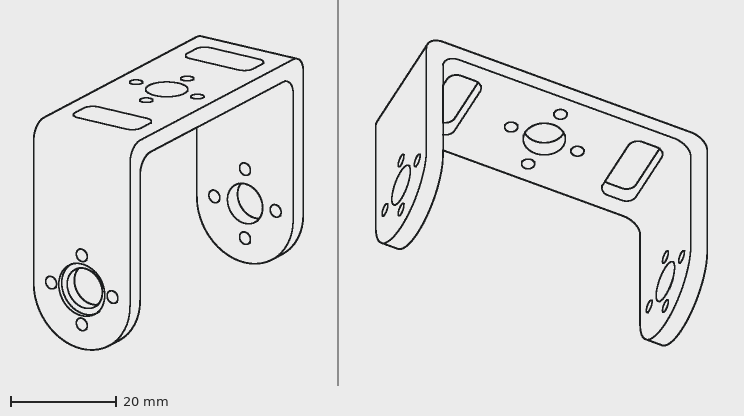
import cadquery as cq

width = 22.0
length = 59.3
height = 43.5
thickness = 3.5
outer_bend_radius = 3.5
inner_bend_radius = 3.5

centre_hole_diameter = 8.0
screw_hole_diameter = 2.5
screw_circle_radius = 7.0
web_pattern_y = -0.6
leg_pattern_height = 12.0

counterbore_diameter = 10.5
counterbore_depth = 1.0

window_length_x = 15.0
window_length_y = 7.0
window_corner_radius = 2.0
window_end_margin = 7.0
window_centre_y = length / 2 - window_end_margin - window_length_y / 2

leg_end_radius = width / 2


def make_channel():
    """Square-ended U channel: web on top, open side down, resting on z = 0."""
    outer = (
        cq.Workplane("XY")
        .box(width, length, height, centered=(True, True, False))
        .edges("|X and >Z")
        .fillet(outer_bend_radius)
    )
    inner = (
        cq.Workplane("XY")
        .box(width, length - 2 * thickness, height - thickness, centered=(True, True, False))
        .edges("|X and >Z")
        .fillet(inner_bend_radius)
    )
    return outer.cut(inner)


def make_leg_outline():
    """Front silhouette with a full round at the bottom, extruded through both legs."""
    return (
        cq.Workplane("XZ")
        .moveTo(-leg_end_radius, height)
        .lineTo(-leg_end_radius, leg_end_radius)
        .threePointArc((0, 0), (leg_end_radius, leg_end_radius))
        .lineTo(leg_end_radius, height)
        .close()
        .extrude(length / 2, both=True)
    )


def make_hole_pattern(plane, centre, half_depth):
    """Cutter for the centre hole and its four screw holes."""
    base = cq.Workplane(plane).center(*centre)
    centre_hole = base.circle(centre_hole_diameter / 2).extrude(half_depth, both=True)
    screw_holes = (
        base.polarArray(screw_circle_radius, 0, 360, 4)
        .circle(screw_hole_diameter / 2)
        .extrude(half_depth, both=True)
    )
    return centre_hole.union(screw_holes)


def make_counterbore():
    """Disc sunk into the outer face of the front leg."""
    return (
        cq.Workplane("XZ", origin=(0, -length / 2, leg_pattern_height))
        .circle(counterbore_diameter / 2)
        .extrude(-counterbore_depth)
    )


def make_windows():
    """Cutter for the two rounded windows through the web."""
    return (
        cq.Workplane("XY", origin=(0, 0, height - thickness))
        .pushPoints([(0, -window_centre_y), (0, window_centre_y)])
        .rect(window_length_x, window_length_y)
        .extrude(thickness)
        .edges("|Z")
        .fillet(window_corner_radius)
    )


web_holes = make_hole_pattern("XY", (0, web_pattern_y), height)
leg_holes = make_hole_pattern("XZ", (0, leg_pattern_height), length / 2)

result = (
    make_channel()
    .intersect(make_leg_outline())
    .cut(web_holes)
    .cut(leg_holes)
    .cut(make_counterbore())
    .cut(make_windows())
)